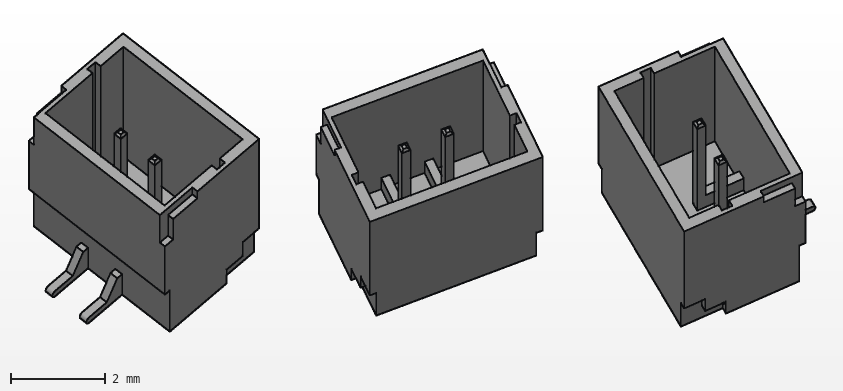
import cadquery as cq

width = 4.0
height = 4.25
depth = 2.9
wall = 0.25
step = 0.15
lower_front_height = 1.5

floor_height = 0.25
groove_rear = 0.95
groove_front = 1.2
groove_reach = 0.155

corner_long = 1.0
corner_thin = 0.25
heel_size = 1.0
heel_half = heel_size / 2

pitch = 1.0
contact_count = 2
contact_width = 0.2
post_rear = 1.54
post_length = 0.205
post_top = 3.75
post_chamfer = 0.055
bar_height = 0.75
slope_end = 0.325
foot_thickness = 0.2
foot_reach = 0.95

rear = depth


def block(x_range, y_range, z_range):
    """Box between pairs of limits on each axis."""
    (x0, x1), (y0, y1), (z0, z1) = x_range, y_range, z_range
    return cq.Workplane("XY").box(x1 - x0, y1 - y0, z1 - z0, centered=False).translate((x0, y0, z0))


def make_shell():
    """Open-topped box with the lower part of the front set back."""
    half = width / 2
    body = block((-half, half), (0, rear), (0, height))
    body = body.cut(block((-half, half), (0, step), (0, lower_front_height)))
    inner = half - wall
    return body.cut(block((-inner, inner), (wall, rear - wall), (floor_height, height)))


def cut_grooves(body):
    """Vertical key grooves in both inner side walls."""
    half = width / 2 - wall + groove_reach
    return body.cut(block((-half, half), (rear - groove_front, rear - groove_rear), (floor_height, height)))


def cut_side_recesses(body):
    """L-shaped top front recesses and stepped lower rear recesses on both sides."""
    half = width / 2
    for x_range in ((-half, step - half), (half - step, half)):
        body = body.cut(block(x_range, (0, corner_long), (height - corner_thin, height)))
        body = body.cut(block(x_range, (0, corner_thin), (height - corner_long, height)))
        body = body.cut(block(x_range, (rear - heel_size, rear), (0, heel_half)))
        body = body.cut(block(x_range, (rear - heel_half, rear), (0, heel_size)))
    return body


def make_contact(x_center):
    """Upright post, bar through the front wall and round-ended solder foot."""
    x_range = (x_center - contact_width / 2, x_center + contact_width / 2)
    post_back = rear - post_rear
    post_front = post_back - post_length
    post = block(x_range, (post_front, post_back), (0, post_top))
    post = post.faces(">Z").chamfer(post_chamfer)
    radius = foot_thickness / 2
    lead = (
        cq.Workplane("YZ", origin=(x_range[0], 0, 0))
        .moveTo(post_back, 0)
        .lineTo(post_back, bar_height)
        .lineTo(0, bar_height)
        .lineTo(-slope_end, foot_thickness)
        .lineTo(radius - foot_reach, foot_thickness)
        .threePointArc((-foot_reach, radius), (radius - foot_reach, 0))
        .close()
        .extrude(contact_width)
    )
    return post.union(lead)


result = cut_side_recesses(cut_grooves(make_shell()))
for index in range(contact_count):
    contact_x = (index - (contact_count - 1) / 2) * pitch
    result = result.union(make_contact(contact_x))